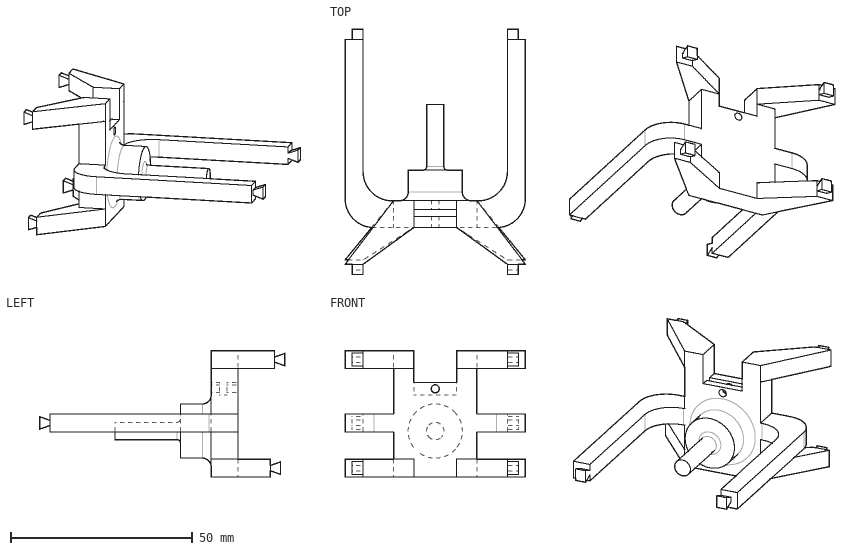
import cadquery as cq

half_span = 49.8 / 2
height = 35.0
limb_width = 5.0

plate_width = 23.05
plate_thickness = 7.45
notch_width = 11.85
notch_floor_z = 26.2
slot_back_inset = 2.4
slot_width = 2.0
slot_depth = 3.5
hole_diameter = 2.2
hole_z = 24.4

arm_length = 44.55
arm_center_z = 15.0
bend_radius = 8.0

upper_leg_reach = 17.55
lower_leg_reach = 16.35

pad_length = 2.85
pad_width = 3.05
pad_root_height = 1.5
pad_tip_height = 3.5

boss_diameter = 15.0
boss_length = 8.5
boss_fillet = 2.45
pin_diameter = 4.8
pin_end_y = 26.6
pin_fillet = 0.95
spigot_z = 12.75

limb_inner_x = half_span - limb_width


def mirrored(shape):
    """Join a right-hand shape with its mirror image across the YZ plane."""
    return shape.union(shape.mirror("YZ"))


def plate():
    return cq.Workplane("XY").box(
        plate_width, plate_thickness, height, centered=(True, False, False)
    ).translate((0, -plate_thickness, 0))


def notch():
    """Open notch in the top edge, with a narrow slot sunk into its floor."""
    opening = cq.Workplane("XY").box(
        notch_width, plate_thickness, height - notch_floor_z, centered=(True, False, False)
    ).translate((0, -plate_thickness, notch_floor_z))
    slot = cq.Workplane("XY").box(
        notch_width, slot_width, slot_depth, centered=(True, False, False)
    ).translate((0, -slot_back_inset - slot_width, notch_floor_z - slot_depth))
    return opening.union(slot)


def cross_hole():
    """Round hole through the plate, crossing the slot."""
    return (
        cq.Workplane("XZ")
        .center(0, hole_z)
        .circle(hole_diameter / 2)
        .extrude(plate_thickness)
    )


def pad(root_y, direction, center_z):
    """Pad that flares in height away from the limb end at root_y."""
    tip_y = root_y + direction * pad_length
    return (
        cq.Workplane("YZ", origin=(limb_inner_x, 0, center_z))
        .moveTo(root_y, -pad_root_height / 2)
        .lineTo(tip_y, -pad_tip_height / 2)
        .lineTo(tip_y, pad_tip_height / 2)
        .lineTo(root_y, pad_root_height / 2)
        .close()
        .extrude(pad_width)
    )


def arm():
    """Bar that leaves the plate sideways and bends round to the rear."""
    bar = (
        cq.Workplane("XY", origin=(0, 0, arm_center_z - limb_width / 2))
        .moveTo(0, -plate_thickness)
        .lineTo(half_span - bend_radius, -plate_thickness)
        .radiusArc((half_span, bend_radius - plate_thickness), -bend_radius)
        .lineTo(half_span, arm_length)
        .lineTo(limb_inner_x, arm_length)
        .lineTo(limb_inner_x, bend_radius)
        .radiusArc((limb_inner_x - bend_radius, 0), bend_radius)
        .lineTo(0, 0)
        .close()
        .extrude(limb_width)
    )
    return bar.union(pad(arm_length, 1, arm_center_z))


def leg(reach, bottom_z):
    """Tapered leg that splays outward and forward from the plate."""
    bar = (
        cq.Workplane("XY", origin=(0, 0, bottom_z))
        .moveTo(notch_width / 2, 0)
        .lineTo(plate_width / 2, 0)
        .lineTo(half_span, -reach)
        .lineTo(limb_inner_x, -reach)
        .lineTo(notch_width / 2, -plate_thickness)
        .close()
        .extrude(limb_width)
    )
    return bar.union(pad(-reach, -1, bottom_z + limb_width / 2))


def spigot():
    """Boss and pin turned about Y, each flaring through a concave fillet at its root."""
    boss_radius = boss_diameter / 2
    pin_radius = pin_diameter / 2
    return (
        cq.Workplane("XY", origin=(0, 0, spigot_z))
        .moveTo(0, 0)
        .lineTo(boss_radius + boss_fillet, 0)
        .radiusArc((boss_radius, boss_fillet), boss_fillet)
        .lineTo(boss_radius, boss_length)
        .lineTo(pin_radius + pin_fillet, boss_length)
        .radiusArc((pin_radius, boss_length + pin_fillet), pin_fillet)
        .lineTo(pin_radius, pin_end_y)
        .lineTo(0, pin_end_y)
        .close()
        .revolve(360, (0, 0, 0), (0, 1, 0))
    )


result = (
    plate()
    .union(mirrored(arm()))
    .cut(notch())
    .cut(cross_hole())
    .union(mirrored(leg(upper_leg_reach, height - limb_width)))
    .union(mirrored(leg(lower_leg_reach, 0)))
    .union(spigot())
)